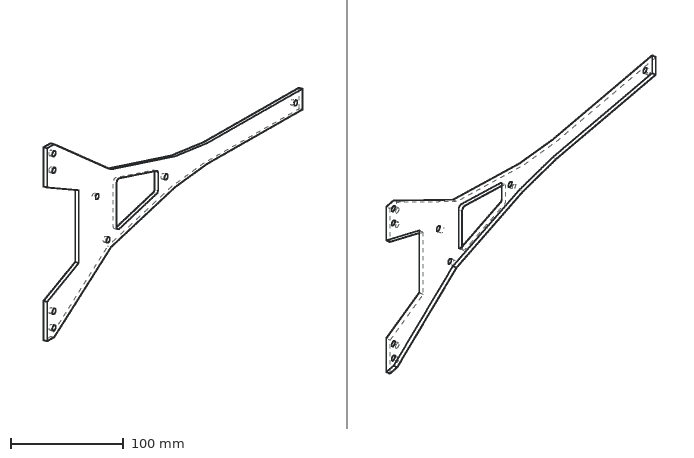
import cadquery as cq

length = 401.5
width = 186.0
thickness = 4.0
fork_y = -length / 2
tail_y = length / 2

tip_land = 11.2
waist_distance = 100.8
waist_half_width = 37.5
shoulder_distance = 201.0
shoulder_half_width = 15.0
tail_start_distance = 251.5
tail_half_width = 10.0

notch_depth = 49.8
notch_floor_half_width = 35.0
notch_mouth_half_width = 55.0

window_wide_distance = 109.2
window_wide_half_width = 25.3
window_narrow_distance = 174.3
window_narrow_half_width = 10.5
window_wide_corner_radius = 3.5
window_narrow_corner_radius = 2.0

hole_diameter = 5.2
hole_end_margin = 11.0
fork_hole_heights = (68.0, 84.0)
neck_hole_distance = 187.0
upper_hole = (78.5, 19.0)
lower_hole = (96.0, -29.0)


def extruded(points):
    """Extrude a YZ outline symmetrically about the plate's middle plane."""
    return cq.Workplane("YZ").polyline(points).close().extrude(thickness / 2, both=True)


def mirrored(half):
    """Complete an upper half outline with its reflection about Z = 0."""
    return half + [(y, -z) for y, z in reversed(half)]


def make_plate():
    half = [
        (tail_y, tail_half_width),
        (fork_y + tail_start_distance, tail_half_width),
        (fork_y + shoulder_distance, shoulder_half_width),
        (fork_y + waist_distance, waist_half_width),
        (fork_y + tip_land, width / 2),
        (fork_y, width / 2),
        (fork_y, notch_mouth_half_width),
        (fork_y + notch_depth, notch_floor_half_width),
    ]
    return extruded(mirrored(half))


def make_window():
    half = [
        (fork_y + window_narrow_distance, window_narrow_half_width),
        (fork_y + window_wide_distance, window_wide_half_width),
    ]
    window = extruded(mirrored(half))
    window = window.faces("<Y").edges("|X").fillet(window_wide_corner_radius)
    return window.faces(">Y").edges("|X").fillet(window_narrow_corner_radius)


def make_holes():
    centres = [
        (tail_y - hole_end_margin, 0),
        (fork_y + neck_hole_distance, 0),
    ]
    for distance, height in (upper_hole, lower_hole):
        centres.append((fork_y + distance, height))
    for height in fork_hole_heights:
        centres.append((fork_y + hole_end_margin, height))
        centres.append((fork_y + hole_end_margin, -height))
    holes = cq.Workplane("YZ").pushPoints(centres).circle(hole_diameter / 2)
    return holes.extrude(thickness / 2, both=True)


result = make_plate().cut(make_window()).cut(make_holes())